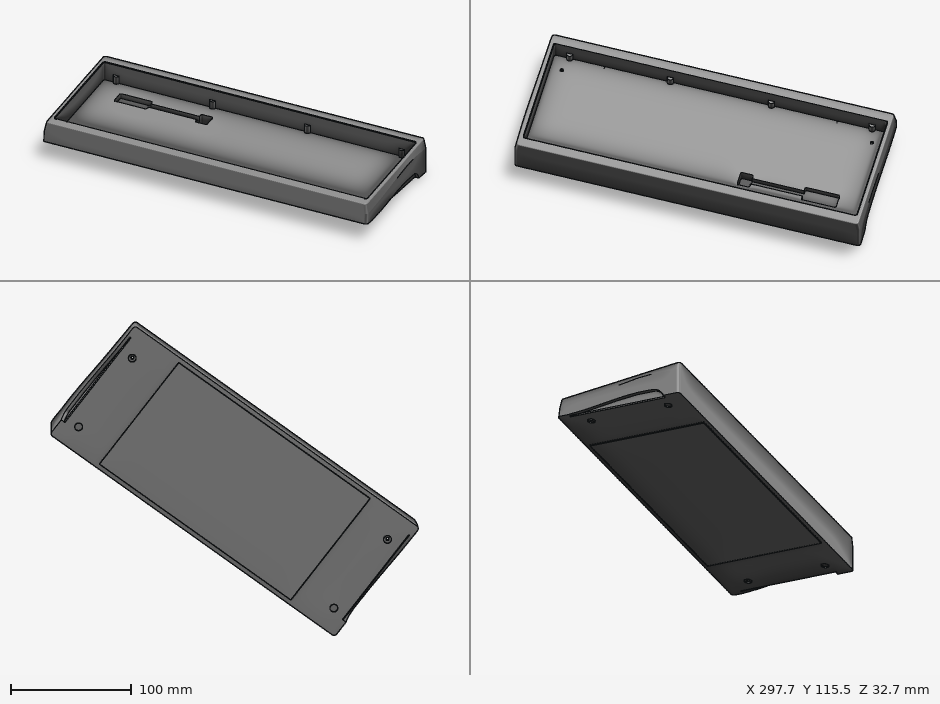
import cadquery as cq
import math

LENGTH = 297.7
DEPTH = 115.5
HEIGHT = 32.5
TILT = math.radians(7)
FRONT_HEIGHT = 18.0
SIDE_X = LENGTH / 2
FRONT_Y = -DEPTH / 2
BACK_Y = DEPTH / 2
RIM_Z = HEIGHT
FRONT_BOTTOM_Z = RIM_Z - FRONT_HEIGHT
FRONT_TOP_Y = FRONT_Y + FRONT_HEIGHT * math.tan(TILT)
CORNER_RADIUS = 2.7
RIM_FILLET = 1.0

TAPER_INSET = 1.8
TAPER_DROP_AT_ENDS = 9.0
TAPER_CURVE = [(46.5, 7.0), (25.3, 4.8), (-7.5, 6.5), (-38.7, 8.5)]

SCOOP_INSET = 3.0
SCOOP_EDGE_CHAMFER = 1.0
SCOOP_BACK_Y = 42.3
SCOOP_FRONT_Y = -47.5
SCOOP_CURVE = [(38.7, 24.0), (35.7, 22.0), (28.3, 20.2), (18.0, 19.0), (-13.5, 19.0)]

WELL_SIDE_WALL = 5.7
WELL_BACK_WALL = 9.0
WELL_FRONT_WALL = 10.7
WELL_DEPTH = 17.5
LIP_CHAMFER = 0.5
WELL_RADIUS = 1.8
FLOOR_Z = RIM_Z - WELL_DEPTH
WELL_FRONT_Y = FRONT_Y + WELL_FRONT_WALL
WELL_BACK_Y = BACK_Y - WELL_BACK_WALL

POST_RADIUS = 2.7
POST_HEIGHT = 7.0
POST_OUTER_X = 130.0
POST_INNER_X = 43.5
BACK_LEFT_POST_X = -132.0
BACK_POST_SETBACK = 0.3

CABLE_Y = 29.2
CABLE_DEPTH = 4.8
POCKET_WIDTH = 12.5
POCKET_RADIUS = 1.5
LONG_POCKET_LEFT_X = -121.8
LONG_POCKET_LENGTH = 29.8
OPENING_LEFT_X = -47.3
OPENING_LENGTH = 10.7
CHANNEL_WIDTH = 5.5

SCREW_X = 133.5
SCREW_Y = -34.2
SCREW_DIAMETER = 2.53
SINK_DIAMETER = 6.5
SINK_DEPTH = 1.2
BACK_SINK_Y = 38.7

PLATE_LENGTH = 200.0
PLATE_EDGE_MARGIN = 4.0
PLATE_SUNK = 1.0
PLATE_PROUD = 1.0


def underside_z(y):
    return FRONT_BOTTOM_Z - (y - FRONT_Y) * math.tan(TILT)


UNDERSIDE = cq.Plane(
    origin=(0, FRONT_Y, FRONT_BOTTOM_Z),
    xDir=(1, 0, 0),
    normal=(0, math.sin(TILT), math.cos(TILT)),
)
UNDERSIDE_DEPTH = DEPTH / math.cos(TILT)


def solid_from(faces):
    return cq.Solid.makeSolid(cq.Shell.makeShell(faces))


def planar_face(*edges):
    return cq.Face.makeFromWires(cq.Wire.assembleEdges(list(edges)))


def end_curve(points):
    return cq.Edge.makeSpline([cq.Vector(SIDE_X, y, z) for y, z in points])


def taper_cutter():
    low_z = RIM_Z - TAPER_DROP_AT_ENDS
    inner_x = SIDE_X - TAPER_INSET
    curve_points = [(y, RIM_Z - drop) for y, drop in TAPER_CURVE]
    curve = end_curve([(BACK_Y, low_z), *curve_points, (FRONT_Y, low_z)])
    back_low, front_low = curve.startPoint(), curve.endPoint()
    back_in, front_in = cq.Vector(inner_x, BACK_Y, RIM_Z), cq.Vector(inner_x, FRONT_Y, RIM_Z)
    back_out, front_out = cq.Vector(SIDE_X, BACK_Y, RIM_Z), cq.Vector(SIDE_X, FRONT_Y, RIM_Z)
    line = cq.Edge.makeLine
    top_in = line(back_in, front_in)
    top_out = line(back_out, front_out)
    back_edges = [line(back_low, back_in), line(back_in, back_out), line(back_out, back_low)]
    front_edges = [line(front_low, front_in), line(front_in, front_out), line(front_out, front_low)]
    return solid_from([
        cq.Face.makeRuledSurface(curve, top_in),
        planar_face(top_in, back_edges[1], top_out, front_edges[1]),
        planar_face(curve, back_edges[2], top_out, front_edges[2]),
        planar_face(*back_edges),
        planar_face(*front_edges),
    ])


def scoop_cutter():
    start = (SCOOP_BACK_Y, underside_z(SCOOP_BACK_Y))
    end = (SCOOP_FRONT_Y, underside_z(SCOOP_FRONT_Y))
    curve_points = [(y, RIM_Z - drop) for y, drop in SCOOP_CURVE]
    profile = cq.Workplane("YZ", origin=(SIDE_X - SCOOP_INSET, 0, 0)).moveTo(*start)
    profile = profile.spline([*curve_points, end], includeCurrent=True)
    return profile.close().extrude(SCOOP_INSET)


def scoop_bevel():
    """Prism that chamfers the edge between the inner wall of a scoop and the underside."""
    wall_x = SIDE_X - SCOOP_INSET
    triangle = [(wall_x, 0), (wall_x - SCOOP_EDGE_CHAMFER, 0), (wall_x, SCOOP_EDGE_CHAMFER)]
    section = cq.Plane(
        origin=(0, SCOOP_BACK_Y, underside_z(SCOOP_BACK_Y)),
        xDir=(1, 0, 0),
        normal=-UNDERSIDE.yDir,
    )
    length = (SCOOP_BACK_Y - SCOOP_FRONT_Y) / math.cos(TILT)
    return cq.Workplane(section).polyline(triangle).close().extrude(length)


def outer_shell():
    profile = [
        (FRONT_Y, FRONT_BOTTOM_Z),
        (BACK_Y, underside_z(BACK_Y)),
        (BACK_Y, RIM_Z),
        (FRONT_TOP_Y, RIM_Z),
    ]
    shell = cq.Workplane("YZ").polyline(profile).close().extrude(SIDE_X, both=True)
    taper = cq.Workplane(taper_cutter())
    shell = shell.cut(taper).cut(taper.mirror("YZ"))
    upright = "not(#Z or |X)"
    shell = shell.faces(">Y").edges(upright).fillet(CORNER_RADIUS)
    shell = shell.faces("<Y").edges(upright).fillet(CORNER_RADIUS)
    shell = shell.faces(">Z").edges().fillet(RIM_FILLET)
    scoop = scoop_cutter().union(scoop_bevel())
    return shell.cut(scoop).cut(scoop.mirror("YZ"))


def floor_box(left_x, length, front_y, width, bottom_z, top_z):
    box = cq.Workplane("XY").box(length, width, top_z - bottom_z, centered=False)
    return box.translate((left_x, front_y, bottom_z))


def well():
    left_x = -SIDE_X + WELL_SIDE_WALL
    length = -2 * left_x
    width = WELL_BACK_Y - WELL_FRONT_Y
    box = floor_box(left_x, length, WELL_FRONT_Y, width, FLOOR_Z, RIM_Z)
    return box.edges("|Z").fillet(WELL_RADIUS)


def lip_chamfer():
    """Bevel around the mouth of the well, along its two sides and its back but not its front."""
    length = LENGTH - 2 * WELL_SIDE_WALL
    width = WELL_BACK_Y - WELL_FRONT_Y
    plane = cq.Workplane("XY", origin=(0, (WELL_BACK_Y + WELL_FRONT_Y) / 2, RIM_Z - LIP_CHAMFER))
    mouth = plane.sketch().rect(length, width).vertices().fillet(WELL_RADIUS).finalize()
    bevel = mouth.extrude(LIP_CHAMFER, taper=-45)
    return bevel.intersect(floor_box(-SIDE_X, LENGTH, WELL_FRONT_Y, DEPTH, FLOOR_Z, RIM_Z))


def posts():
    back_y = WELL_BACK_Y + BACK_POST_SETBACK
    shared_xs = [-POST_INNER_X, POST_INNER_X, POST_OUTER_X]
    places = [(x, WELL_FRONT_Y) for x in [-POST_OUTER_X, *shared_xs]]
    places += [(x, back_y) for x in [BACK_LEFT_POST_X, *shared_xs]]
    plane = cq.Workplane("XY").workplane(offset=FLOOR_Z)
    return plane.pushPoints(places).circle(POST_RADIUS).extrude(POST_HEIGHT)


def cable_recess():
    recess_z = FLOOR_Z - CABLE_DEPTH
    front_y = CABLE_Y - POCKET_WIDTH / 2
    pocket = floor_box(LONG_POCKET_LEFT_X, LONG_POCKET_LENGTH, front_y, POCKET_WIDTH, recess_z, FLOOR_Z)
    opening = floor_box(OPENING_LEFT_X, OPENING_LENGTH, front_y, POCKET_WIDTH, 0, FLOOR_Z)
    channel_length = OPENING_LEFT_X - LONG_POCKET_LEFT_X
    channel = floor_box(
        LONG_POCKET_LEFT_X, channel_length, CABLE_Y - CHANNEL_WIDTH / 2, CHANNEL_WIDTH, recess_z, FLOOR_Z)
    pocket = pocket.edges("|Z").fillet(POCKET_RADIUS)
    opening = opening.edges("|Z").fillet(POCKET_RADIUS)
    return pocket.union(channel.cut(pocket)).union(opening)


def screw_holes():
    sides = [-SCREW_X, SCREW_X]
    holes = cq.Workplane("XY").pushPoints([(x, SCREW_Y) for x in sides])
    holes = holes.circle(SCREW_DIAMETER / 2).extrude(RIM_Z)
    local_ys = [(y - FRONT_Y) / math.cos(TILT) for y in (SCREW_Y, BACK_SINK_Y)]
    sinks = cq.Workplane(UNDERSIDE).pushPoints([(x, y) for x in sides for y in local_ys])
    return holes.union(sinks.circle(SINK_DIAMETER / 2).extrude(SINK_DEPTH))


def make_plate():
    width = UNDERSIDE_DEPTH - 2 * PLATE_EDGE_MARGIN
    plate = cq.Workplane(UNDERSIDE).workplane(offset=-PLATE_PROUD).center(0, UNDERSIDE_DEPTH / 2)
    return plate.rect(PLATE_LENGTH, width).extrude(PLATE_PROUD + PLATE_SUNK)


def make_housing(plate):
    housing = outer_shell().cut(well()).cut(lip_chamfer())
    housing = housing.union(posts())
    return housing.cut(cable_recess()).cut(screw_holes()).cut(plate)


base_plate = make_plate()
housing = make_housing(base_plate)
result = cq.Compound.makeCompound([housing.val(), base_plate.val()])